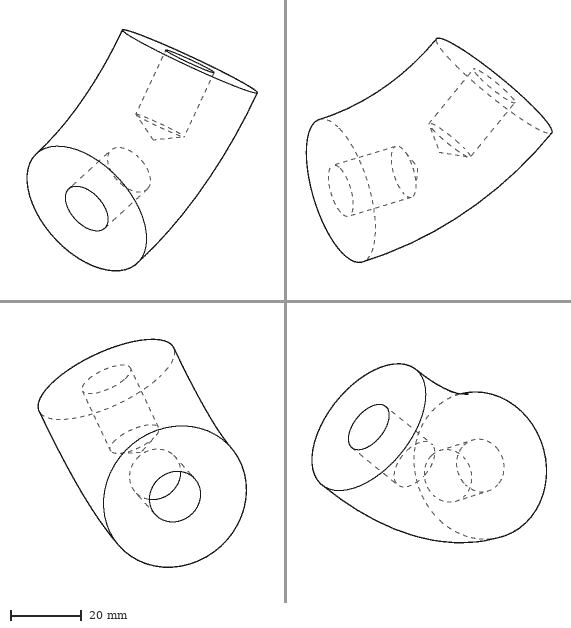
import cadquery as cq
import math

bend_angle = 45.0
outer_diameter = 42.0
overall_length = 63.65
hole_diameter = 15.0
hole_depth = 20.0
drill_point_angle = 118.0

outer_radius = outer_diameter / 2
bend_radius = overall_length / math.sin(math.radians(bend_angle)) - outer_radius
bend_axis_start = (0, 0, bend_radius)
bend_axis_end = (1, 0, bend_radius)


def make_elbow():
    """Solid round bar swept along the bend, starting on the XZ plane."""
    return cq.Workplane("XZ").circle(outer_radius).revolve(
        bend_angle,
        (0, bend_radius, 0),
        (1, bend_radius, 0),
    )


def make_drilled_hole():
    """Blind hole entering the start face along +Y, with a conical drill point."""
    hole_radius = hole_diameter / 2
    point_length = hole_radius / math.tan(math.radians(drill_point_angle / 2))
    half_profile = (
        cq.Workplane("XY")
        .lineTo(hole_radius, 0)
        .lineTo(hole_radius, hole_depth)
        .lineTo(0, hole_depth + point_length)
        .close()
    )
    return half_profile.revolve(360, (0, 0, 0), (0, 1, 0))


def move_to_far_end(start_hole):
    """Turn the start-face hole around and carry it along the bend to the end face."""
    reversed_hole = start_hole.rotate((0, 0, 0), (0, 0, 1), 180)
    return reversed_hole.rotate(bend_axis_start, bend_axis_end, bend_angle)


start_hole = make_drilled_hole()
end_hole = move_to_far_end(start_hole)
result = make_elbow().cut(start_hole).cut(end_hole)